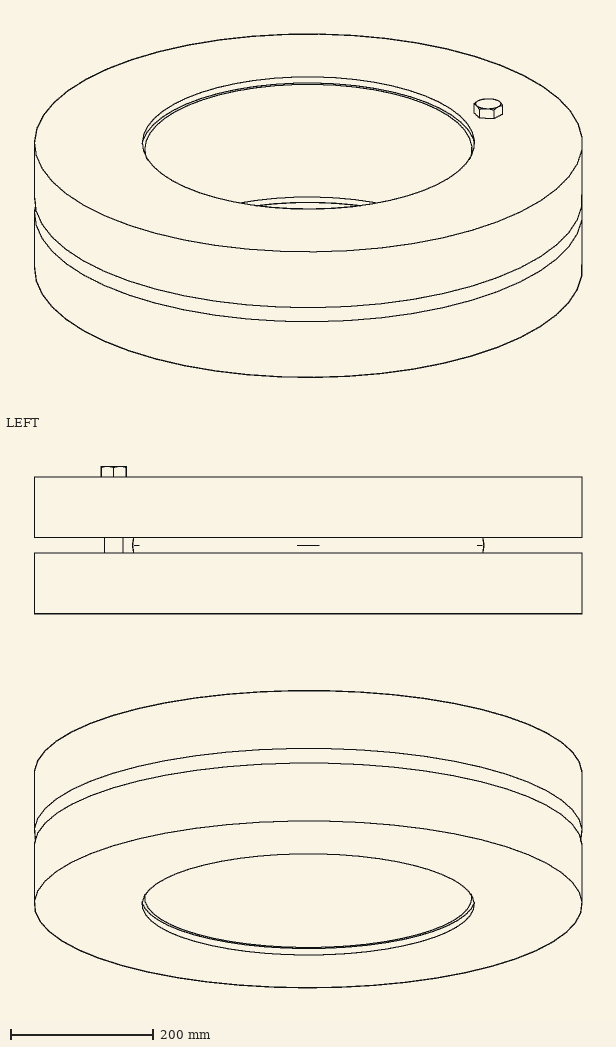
import cadquery as cq
import math

outer_diameter = 770.0
mouth_diameter = 467.0
flange_height = 85.5
gap = 21.5
upper_base = flange_height + gap
stack_height = upper_base + flange_height

sleeve_bore = 460.0
sleeve_recess = 10.0
ridge_diameter = 494.0
mid_height = stack_height / 2

screw_offset = 273.0
shank_diameter = 26.0
head_height = 15.0
head_across_flats = 35.5
head_top_diameter = 35.5
head_bevel_angle = 30.0


def cone_radius(height):
    """Radius of the lower flange's cone, from its mouth at Z = 0 up to the ridge."""
    taper = (ridge_diameter - mouth_diameter) / 2 / mid_height
    return mouth_diameter / 2 + taper * height


def make_flange():
    """Flange ring whose bore narrows conically to a mouth at its outer face, Z = 0."""
    outer = outer_diameter / 2
    profile = [
        (cone_radius(0), 0),
        (outer, 0),
        (outer, flange_height),
        (cone_radius(flange_height), flange_height),
    ]
    return cq.Workplane("XZ").polyline(profile).close().revolve(360, (0, 0), (0, 1))


def place_upper_flange(flange):
    """Turn a flange over so its mouth is at the top of the stack."""
    return flange.mirror("XY").translate((0, 0, stack_height))


def cut_screw_hole(flange):
    """Drill the screw hole straight through the upper flange."""
    hole = (
        cq.Workplane("XY", origin=(0, screw_offset, upper_base))
        .circle(shank_diameter / 2)
        .extrude(flange_height)
    )
    return flange.cut(hole)


def make_sleeve():
    """Double-cone ring with a straight bore, ending short of both outer faces."""
    inner = sleeve_bore / 2
    end = cone_radius(sleeve_recess)
    top = stack_height - sleeve_recess
    profile = [
        (inner, sleeve_recess),
        (end, sleeve_recess),
        (ridge_diameter / 2, mid_height),
        (end, top),
        (inner, top),
    ]
    return cq.Workplane("XZ").polyline(profile).close().revolve(360, (0, 0), (0, 1))


def make_head():
    """Hexagon with corners on the X axis, its top corners bevelled by a cone."""
    corner_diameter = head_across_flats / math.cos(math.pi / 6)
    hexagon = cq.Workplane("XY").polygon(6, corner_diameter).extrude(head_height)
    top_radius = head_top_diameter / 2
    slope = math.tan(math.radians(head_bevel_angle))
    base_radius = top_radius + head_height / slope
    profile = [(0, 0), (base_radius, 0), (top_radius, head_height), (0, head_height)]
    cone = cq.Workplane("XZ").polyline(profile).close().revolve(360, (0, 0), (0, 1))
    return hexagon.intersect(cone).translate((0, screw_offset, stack_height))


def make_screw():
    """Hexagon-headed screw reaching down to the lower flange's top face."""
    shank = (
        cq.Workplane("XY", origin=(0, screw_offset, flange_height))
        .circle(shank_diameter / 2)
        .extrude(gap + flange_height)
    )
    return shank.union(make_head())


lower_flange = make_flange()
upper_flange = cut_screw_hole(place_upper_flange(make_flange()))
sleeve = make_sleeve()
screw = make_screw()

result = cq.Compound.makeCompound(
    [lower_flange.val(), upper_flange.val(), sleeve.val(), screw.val()]
)